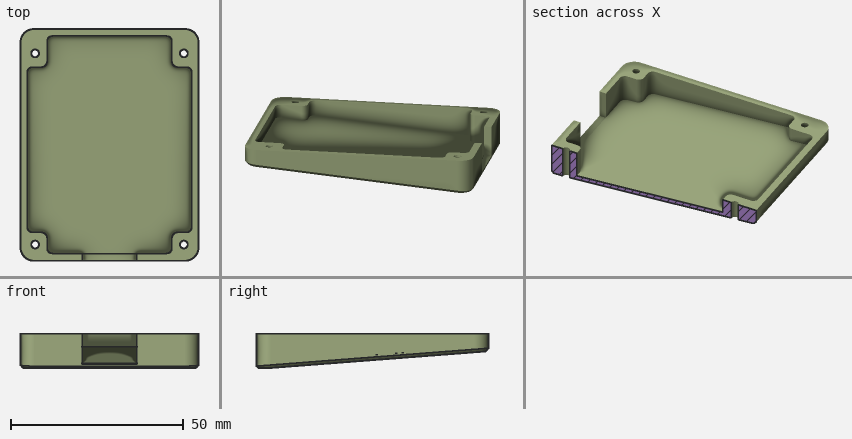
import cadquery as cq
import math

WIDTH = 51.7
LENGTH = 67.24
HEIGHT = 10.0
CORNER_RADIUS = 4.0
BOTTOM_CHAMFER = 0.9
SLOPE = math.tan(math.radians(4.4))
FLAT_LENGTH = 3.8

SIDE_WALL = 2.0
FRONT_WALL = 2.15
BACK_WALL = 2.05
FLOOR_THICKNESS = 1.5
POCKET_RADIUS = 1.6

BLOCK_WIDTH = 5.75
FRONT_BLOCK_LENGTH = 6.1
BACK_BLOCK_LENGTH = 9.0

HOLE_DIAMETER = 2.2
HOLE_SIDE_INSET = 4.3
HOLE_FRONT_INSET = 4.75
HOLE_BACK_INSET = 7.1

NOTCH_WIDTH = 15.8
NOTCH_SILL = 1.2

FRONT = -LENGTH / 2
BACK = LENGTH / 2
INNER_WIDTH = WIDTH - 2 * SIDE_WALL
INNER_FRONT = FRONT + FRONT_WALL
INNER_BACK = BACK - BACK_WALL
SLOPE_START_Y = FRONT + FLAT_LENGTH


def slope_z(y):
    """Height of the sloping underside plane at a given Y."""
    return SLOPE * (y - SLOPE_START_Y)


def wedge(width, front, back, lift):
    """Block from the slope plane, raised by lift, up to the rim."""
    profile = [
        (front, slope_z(front) + lift),
        (back, slope_z(back) + lift),
        (back, HEIGHT),
        (front, HEIGHT),
    ]
    return cq.Workplane("YZ").polyline(profile).close().extrude(width / 2, both=True)


def block(width, length, height):
    """Block centred on the Z axis, standing on Z = 0."""
    return cq.Workplane("XY").box(width, length, height, centered=(True, True, False))


def make_body():
    """Chamfered wedge, cut level at Z = 0 so that it has a flat front strip."""
    body = wedge(WIDTH, FRONT, BACK, 0).edges("|Z").fillet(CORNER_RADIUS)
    body = body.faces("<Z").edges().chamfer(BOTTOM_CHAMFER)
    return body.intersect(block(WIDTH, LENGTH, HEIGHT))


def make_pocket():
    """Volume of the pocket, with the four corner blocks left standing."""
    pocket = wedge(INNER_WIDTH, INNER_FRONT, INNER_BACK, FLOOR_THICKNESS)
    block_x = (INNER_WIDTH - BLOCK_WIDTH) / 2
    block_rows = [
        (INNER_FRONT + FRONT_BLOCK_LENGTH / 2, FRONT_BLOCK_LENGTH),
        (INNER_BACK - BACK_BLOCK_LENGTH / 2, BACK_BLOCK_LENGTH),
    ]
    for block_y, block_length in block_rows:
        for side in (-1, 1):
            corner_block = block(BLOCK_WIDTH, block_length, HEIGHT)
            pocket = pocket.cut(corner_block.translate((side * block_x, block_y, 0)))
    return pocket.edges("|Z").fillet(POCKET_RADIUS)


def make_holes():
    """Screw holes running vertically through the corner blocks."""
    hole_x = WIDTH / 2 - HOLE_SIDE_INSET
    hole_rows = (FRONT + HOLE_FRONT_INSET, BACK - HOLE_BACK_INSET)
    centres = [(side * hole_x, y) for side in (-1, 1) for y in hole_rows]
    return cq.Workplane("XY").pushPoints(centres).circle(HOLE_DIAMETER / 2).extrude(HEIGHT)


def make_notch():
    """Opening through the front wall, from the level sill up to the rim."""
    notch = block(NOTCH_WIDTH, FRONT_WALL, HEIGHT - NOTCH_SILL)
    return notch.translate((0, FRONT + FRONT_WALL / 2, NOTCH_SILL))


result = make_body().cut(make_pocket()).cut(make_holes()).cut(make_notch())